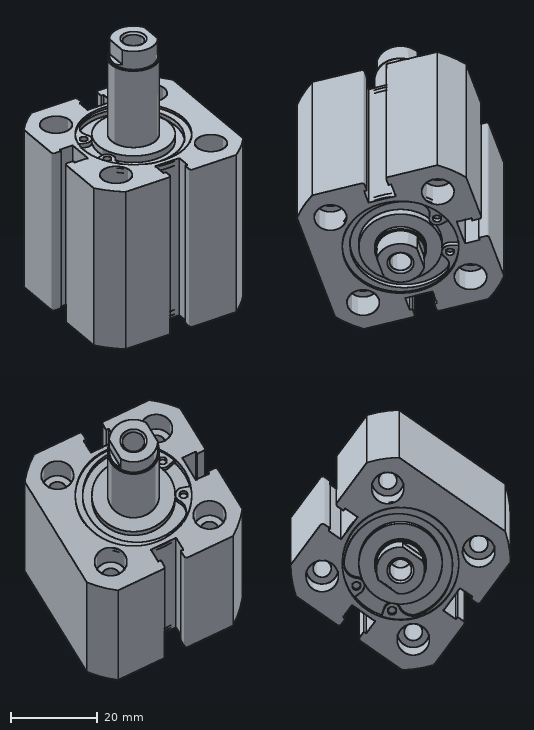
import cadquery as cq
import math


cut_overrun = 0.75

side = 41.0
housing_length = 43.0
corner_radius = 25.5
bore_radius = 13.5

mount_spacing = 26.0
mount_radius = 2.1
counterbore_radius = 3.75
counterbore_depth = 7.0

slot_half_opening = 2.6
slot_half_width = 3.3
slot_lip = 2.3
slot_floor = 14.6
slot_edge_round = 0.7
slot_angles = (-90, 0, 180)

ring_recess = 0.6
ring_thickness = 1.2
ring_slot_wall = 0.11
ring_outer_radius = slot_floor - ring_slot_wall
ring_inner_radius = 12.6
ring_eccentricity = 0.9
lug_x = 5.1
lug_y = -10.4
lug_radius = 1.9
lug_hole_radius = 1.0
lug_blend_radius = 3.4

cover_flange_recess = ring_recess + ring_thickness
cover_boss_radius = 9.7
cover_length = 10.0

rod_radius = 6.0
rod_length = 75.0
rod_lower_projection = 6.0
neck_radius = 5.6
neck_length = 4.95
shoulder_chamfer = 0.2
flat_offset = 4.9
flat_length = 4.0
tapped_hole_radius = 2.55
tapped_hole_depth = 12.0
countersink_radius = 3.1
drill_point_angle = 118.0


def mirrored_end(body):
    """Copy of a body from the upper end, placed at the lower end of the housing."""
    return body.mirror("XY", (0, 0, housing_length / 2))


def ring_plane():
    """Workplane at the underside of the upper retaining ring."""
    return cq.Workplane("XY").workplane(offset=housing_length - cover_flange_recess)


def make_slot(angle):
    """T-slot cutter along the housing, opening towards the given direction."""
    half_side = side / 2
    lip_inside = half_side - slot_lip
    opening_end = half_side + cut_overrun
    mouth = slot_half_opening + slot_edge_round
    round_start = half_side - slot_edge_round
    round_offset = slot_edge_round * (1 - math.sqrt(0.5))
    half_profile = (
        cq.Workplane("XY")
        .moveTo(slot_floor, 0)
        .lineTo(slot_floor, slot_half_width)
        .lineTo(lip_inside, slot_half_width)
        .lineTo(lip_inside, slot_half_opening)
        .lineTo(round_start, slot_half_opening)
        .threePointArc((half_side - round_offset, slot_half_opening + round_offset), (half_side, mouth))
        .lineTo(opening_end, mouth)
        .lineTo(opening_end, 0)
        .close()
    )
    half_slot = half_profile.extrude(housing_length)
    slot = half_slot.union(half_slot.mirror("XZ"))
    return slot.rotate((0, 0, 0), (0, 0, 1), angle)


def make_mount_holes():
    """Cutters for the four through holes, counterbored from both ends."""
    corners = cq.Workplane("XY").rect(mount_spacing, mount_spacing, forConstruction=True).vertices()
    through_holes = corners.circle(mount_radius).extrude(housing_length)
    lower_counterbores = corners.circle(counterbore_radius).extrude(counterbore_depth)
    return through_holes.union(lower_counterbores).union(mirrored_end(lower_counterbores))


def make_housing():
    """Square body with turned corners, bore, mounting holes, T-slots and seats for both rings."""
    housing = cq.Workplane("XY").rect(side, side).extrude(housing_length)
    housing = housing.intersect(cq.Workplane("XY").circle(corner_radius).extrude(housing_length))
    housing = housing.cut(cq.Workplane("XY").circle(bore_radius).extrude(housing_length))
    housing = housing.cut(make_mount_holes())
    for angle in slot_angles:
        housing = housing.cut(make_slot(angle))
    ring_seat = make_ring_blank()
    return housing.cut(ring_seat).cut(mirrored_end(ring_seat))


def make_cover():
    """Upper end cover: a flange under the retaining ring and a boss flush with the housing."""
    base = housing_length - cover_length
    flange_length = cover_length - cover_flange_recess
    base_plane = cq.Workplane("XY").workplane(offset=base)
    cover = base_plane.circle(bore_radius).extrude(flange_length)
    boss = base_plane.circle(cover_boss_radius).extrude(cover_length)
    rod_hole = base_plane.circle(rod_radius).extrude(cover_length)
    return cover.union(boss).cut(rod_hole)


def make_ring_blank():
    """Upper retaining ring before drilling: an eccentric ring with two lugs, open towards -Y."""
    lug_distance = math.hypot(lug_x, lug_y)
    tangent_length = math.sqrt(lug_distance**2 - lug_radius**2)
    rim_scale = ring_outer_radius / lug_distance
    gap_half_angle = math.atan2(lug_x, -lug_y) - math.asin(lug_radius / lug_distance)
    gap_depth = ring_outer_radius + cut_overrun
    gap_half_width = gap_depth * math.tan(gap_half_angle)

    ring = ring_plane().circle(ring_outer_radius).extrude(ring_thickness)
    opening = ring_plane().center(0, -ring_eccentricity).circle(ring_inner_radius)
    ring = ring.cut(opening.extrude(ring_thickness))
    for sign in (-1, 1):
        lug = ring_plane().center(sign * lug_x, lug_y).circle(lug_radius)
        ring = ring.union(lug.extrude(ring_thickness))
        sine = sign * math.sin(gap_half_angle)
        cosine = math.cos(gap_half_angle)
        web_outline = [
            (sign * lug_x, lug_y),
            (tangent_length * sine, -tangent_length * cosine),
            (ring_outer_radius * sine, -ring_outer_radius * cosine),
            (sign * lug_x * rim_scale, lug_y * rim_scale),
        ]
        ring = ring.union(ring_plane().polyline(web_outline).close().extrude(ring_thickness))

    gap_outline = [(0, 0), (-gap_half_width, -gap_depth), (gap_half_width, -gap_depth)]
    ring = ring.cut(ring_plane().polyline(gap_outline).close().extrude(ring_thickness))
    return ring.edges("|Z").edges("<X or >X").fillet(lug_blend_radius)


def make_ring():
    """Upper retaining ring with a plier hole through each lug."""
    lug_centers = [(-lug_x, lug_y), (lug_x, lug_y)]
    plier_holes = ring_plane().pushPoints(lug_centers).circle(lug_hole_radius).extrude(ring_thickness)
    return make_ring_blank().cut(plier_holes)


def make_rod_end_cutter():
    """Everything removed from the upper end of the rod."""
    top = rod_length - rod_lower_projection
    shoulder = top - neck_length
    plane = cq.Workplane("XZ")
    axis_start = (0, 0)
    axis_end = (0, 1)
    tip_depth = tapped_hole_radius / math.tan(math.radians(drill_point_angle / 2))
    countersink_depth = countersink_radius - tapped_hole_radius

    neck = (
        plane.moveTo(neck_radius, top)
        .lineTo(neck_radius, shoulder)
        .lineTo(rod_radius - shoulder_chamfer, shoulder)
        .lineTo(rod_radius, shoulder - shoulder_chamfer)
        .lineTo(rod_radius, top)
        .close()
        .revolve(360, axis_start, axis_end)
    )
    hole = (
        plane.moveTo(0, top)
        .lineTo(countersink_radius, top)
        .lineTo(tapped_hole_radius, top - countersink_depth)
        .lineTo(tapped_hole_radius, top - tapped_hole_depth)
        .lineTo(0, top - tapped_hole_depth - tip_depth)
        .close()
        .revolve(360, axis_start, axis_end)
    )
    flat_end = top - flat_length
    flat_depth = rod_radius - flat_offset
    flat = (
        cq.Workplane("YZ")
        .moveTo(flat_offset, top)
        .lineTo(flat_offset, flat_end)
        .lineTo(rod_radius, flat_end - flat_depth)
        .lineTo(rod_radius, top)
        .close()
        .extrude(rod_radius, both=True)
    )
    return neck.union(hole).union(flat).union(flat.mirror("XZ"))


def make_rod():
    """Rod passing through both covers, with the same neck, flats and tapped hole at each end."""
    rod = cq.Workplane("XY").workplane(offset=-rod_lower_projection).circle(rod_radius).extrude(rod_length)
    upper_end = make_rod_end_cutter()
    lower_end = upper_end.mirror("XY", (0, 0, rod_length / 2 - rod_lower_projection))
    return rod.cut(upper_end).cut(lower_end)


housing = make_housing()
rod = make_rod()
upper_cover = make_cover()
upper_ring = make_ring()

end_bodies = []
for upper_body in (upper_cover, upper_ring):
    end_bodies += [upper_body.val(), mirrored_end(upper_body).val()]

result = cq.Compound.makeCompound([housing.val(), rod.val(), *end_bodies])